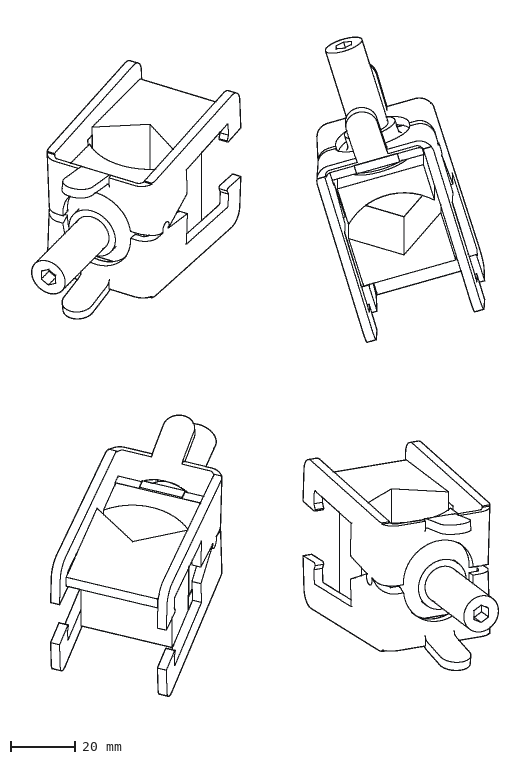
import cadquery as cq
import math


OVERALL_LENGTH = 90

SHEET = 3.0
JAW_WIDTH = 38.0
JAW_TILT = 3.6
JAW_HEIGHT = 21.95
BACK_Y = -10.1
HOOK_END_Y = 48.9
BEND_INNER_R = 1.9
BEND_OUTER_R = BEND_INNER_R + SHEET
HOOK_CORNER_R = 5.0
HOOK_TIP_Z = 6.0
HOOK_INNER_Y = 41.0
OPENING_Y = 14.0
OPENING_Z = 13.05
OPENING_CORNER_R = 0.5
NOSE_DEPTH = 1.0
NOSE_HEIGHT = 2.4
NOSE_R = 0.8

HINGE_R = 2.0
HINGE_EDGE_Z = 1.0
KNOB_FRONT_Z = 2.0
SOCKET_FRONT_Z = 4.0
SOCKET_BACK_Z = 3.0
RELIEF_Y = -2.3
RELIEF_Z = -0.6

JAW_HOLE_D = 24.0
JAW_HOLE_Z = 2.1

tilt = math.radians(JAW_TILT)
hook_reach = HOOK_END_Y * math.cos(tilt) - HOOK_TIP_Z * math.sin(tilt)

TONGUE_WIDTH = 10.0
TONGUE_LENGTH = 9.8
TONGUE_SLOPE = 13.1
TONGUE_BEND_INNER_R = 1.8
TONGUE_BEND_OUTER_R = TONGUE_BEND_INNER_R + SHEET
TONGUE_BEND_Z = 18.0
WALL_TOP_Z = 21.5

BLOCK_WIDTH = 30.0
BLOCK_HEIGHT = 37.1
BLOCK_FRONT_Y = 45.1
BLOCK_BACK_Y = 14.0
BLOCK_APEX_Y = 24.1
BLOCK_WEB_Y = 30.3
BLOCK_PLATE = 4.05

SCREW_Z = -0.45
SCREW_D = 12.0
SCREW_END_Y = hook_reach - OVERALL_LENGTH
SADDLE_WIDTH = 28.0
SADDLE_HEIGHT = 30.0
SADDLE_TIP_Y = 10.6
SADDLE_BACK_Y = -1.6
SADDLE_R = 19.7
FOOT_D = 20.5
FOOT_RIM = 0.7
FOOT_CONE = 1.0
HEX_FLATS = 5.0
HEX_DEPTH = 5.0

NUT_WIDTH = 29.9
NUT_HEIGHT = 26.0
NUT_TAB_WIDTH = 14.0
NUT_TAB_HEIGHT = 0.5
NUT_BACK_Y = -6.9
NUT_THICKNESS = 3.0
BOSS_D = 16.5
BOSS_END_Y = -13.1
BOSS_FILLET = 3.1


def side_profile(edge_points, x_start):
    """Half-width slab with the outline of one side plate; edge_points close it at the hinge."""
    nose_y = HOOK_INNER_Y - NOSE_DEPTH
    outline = (
        cq.Workplane("YZ", origin=(x_start, 0, 0))
        .moveTo(BACK_Y, JAW_HEIGHT)
        .lineTo(HOOK_END_Y - HOOK_CORNER_R, JAW_HEIGHT)
        .radiusArc((HOOK_END_Y, JAW_HEIGHT - HOOK_CORNER_R), HOOK_CORNER_R)
        .lineTo(HOOK_END_Y, HOOK_TIP_Z)
        .lineTo(nose_y + NOSE_R, HOOK_TIP_Z)
        .radiusArc((nose_y, HOOK_TIP_Z + NOSE_R), NOSE_R)
        .lineTo(HOOK_INNER_Y, HOOK_TIP_Z + NOSE_HEIGHT)
        .lineTo(HOOK_INNER_Y, OPENING_Z - OPENING_CORNER_R)
        .radiusArc((HOOK_INNER_Y - OPENING_CORNER_R, OPENING_Z), -OPENING_CORNER_R)
        .lineTo(OPENING_Y, OPENING_Z)
    )
    for point in edge_points:
        outline = outline.lineTo(*point)
    return outline.close().extrude(JAW_WIDTH / 2)


def bent_channel():
    """U-shaped sheet, open to +Y, tall enough for the whole jaw."""
    length = HOOK_END_Y - BACK_Y
    outer = (
        cq.Workplane("XY", origin=(0, BACK_Y + length / 2, 0))
        .box(JAW_WIDTH, length, 2 * JAW_HEIGHT)
        .edges("|Z and <Y").fillet(BEND_OUTER_R)
    )
    inner = (
        cq.Workplane("XY", origin=(0, BACK_Y + SHEET + length / 2, 0))
        .box(JAW_WIDTH - 2 * SHEET, length, 2 * JAW_HEIGHT)
        .edges("|Z and <Y").fillet(BEND_INNER_R)
    )
    return outer.cut(inner)


def tongue():
    """Bend out of the back wall, followed by a round-ended sloping plate."""
    slope = math.radians(TONGUE_SLOPE)
    axis_y = BACK_Y - TONGUE_BEND_INNER_R
    half = TONGUE_WIDTH / 2

    def on_bend(radius, angle):
        return axis_y + radius * math.cos(angle), TONGUE_BEND_Z + radius * math.sin(angle)

    end = math.pi / 2 - slope
    bend = (
        cq.Workplane("YZ", origin=(-half, 0, 0))
        .moveTo(*on_bend(TONGUE_BEND_INNER_R, 0))
        .threePointArc(on_bend(TONGUE_BEND_INNER_R, end / 2), on_bend(TONGUE_BEND_INNER_R, end))
        .lineTo(*on_bend(TONGUE_BEND_OUTER_R, end))
        .threePointArc(on_bend(TONGUE_BEND_OUTER_R, end / 2), on_bend(TONGUE_BEND_OUTER_R, 0))
        .close()
        .extrude(TONGUE_WIDTH)
    )
    start_y, start_z = on_bend(TONGUE_BEND_INNER_R, end)
    plane = cq.Plane((0, start_y, start_z), (1, 0, 0), (0, math.sin(slope), math.cos(slope)))
    plate = (
        cq.Workplane(plane)
        .moveTo(-half, 0)
        .lineTo(-half, -TONGUE_LENGTH)
        .threePointArc((0, -TONGUE_LENGTH - half), (half, -TONGUE_LENGTH))
        .lineTo(half, 0)
        .close()
        .extrude(SHEET)
    )
    return bend.union(plate)


def wall_top_cut():
    """Material above the lowered back wall edge, and the rounding of its inner side."""
    inner_y = BACK_Y + SHEET
    axis_y = BACK_Y - TONGUE_BEND_INNER_R
    rise = WALL_TOP_Z - TONGUE_BEND_Z
    edge_y = axis_y + math.sqrt(TONGUE_BEND_OUTER_R**2 - rise**2)
    lowered = (
        cq.Workplane("YZ")
        .moveTo(inner_y, WALL_TOP_Z)
        .lineTo(BACK_Y, WALL_TOP_Z)
        .lineTo(BACK_Y, JAW_HEIGHT)
        .lineTo(inner_y, JAW_HEIGHT)
        .close()
        .extrude(JAW_WIDTH / 2, both=True)
    )
    rounding = (
        cq.Workplane("YZ")
        .moveTo(inner_y, TONGUE_BEND_Z)
        .radiusArc((edge_y, WALL_TOP_Z), -TONGUE_BEND_OUTER_R)
        .lineTo(edge_y, JAW_HEIGHT)
        .lineTo(inner_y + SHEET, JAW_HEIGHT)
        .lineTo(inner_y + SHEET, TONGUE_BEND_Z)
        .close()
        .extrude(JAW_WIDTH / 2 - SHEET, both=True)
        .edges("%CIRCLE").fillet(BEND_INNER_R)
    )
    return lowered.union(rounding)


def hinge_disc(x_start):
    """Disc on the hinge axis, as thick as a side plate: the knob, or the socket it fits."""
    return cq.Workplane("YZ", origin=(x_start, 0, 0)).circle(HINGE_R).extrude(SHEET)


def jaw():
    """Upper jaw, swung open: knob on its -X side plate, socket on its +X side plate."""
    knob_edge = [
        (OPENING_Y, KNOB_FRONT_Z),
        (HINGE_R, HINGE_EDGE_Z),
        (BACK_Y, HINGE_EDGE_Z),
    ]
    socket_edge = [
        (OPENING_Y, SOCKET_FRONT_Z),
        (HINGE_R, -HINGE_EDGE_Z),
        (RELIEF_Y, RELIEF_Z),
        (BACK_Y, SOCKET_BACK_Z),
    ]
    outline = side_profile(knob_edge, -JAW_WIDTH / 2).union(side_profile(socket_edge, 0))
    hole = (
        cq.Workplane("XZ", origin=(0, BACK_Y / 2, JAW_HOLE_Z))
        .circle(JAW_HOLE_D / 2)
        .extrude(-BACK_Y)
    )
    body = (
        bent_channel()
        .intersect(outline)
        .cut(wall_top_cut())
        .union(tongue())
        .cut(hole)
        .union(hinge_disc(-JAW_WIDTH / 2))
        .cut(hinge_disc(JAW_WIDTH / 2 - SHEET))
    )
    return body.rotate((0, 0, 0), (1, 0, 0), JAW_TILT)


def v_block():
    """L-shaped block: top plate and web, with a V notch facing the saddle."""
    half = BLOCK_WIDTH / 2
    body = (
        cq.Workplane("XY", origin=(0, 0, -BLOCK_HEIGHT / 2))
        .polyline([
            (-half, BLOCK_FRONT_Y),
            (-half, BLOCK_BACK_Y),
            (0, BLOCK_APEX_Y),
            (half, BLOCK_BACK_Y),
            (half, BLOCK_FRONT_Y),
        ])
        .close()
        .extrude(BLOCK_HEIGHT)
    )
    space_below = (
        cq.Workplane("XY", origin=(0, 0, -BLOCK_HEIGHT / 2))
        .moveTo(0, (BLOCK_WEB_Y + BLOCK_FRONT_Y) / 2)
        .rect(BLOCK_WIDTH, BLOCK_FRONT_Y - BLOCK_WEB_Y)
        .extrude(BLOCK_HEIGHT - BLOCK_PLATE)
    )
    return body.cut(space_below)


def pressure_screw():
    """Saddle with a hollow face, its conical foot, and the shank with a hexagon socket."""
    half = SADDLE_WIDTH / 2
    hollow_y = SADDLE_TIP_Y - (SADDLE_R - math.sqrt(SADDLE_R**2 - half**2))
    saddle = (
        cq.Workplane("XY", origin=(0, 0, SCREW_Z - SADDLE_HEIGHT / 2))
        .moveTo(-half, SADDLE_TIP_Y)
        .lineTo(-half, SADDLE_BACK_Y)
        .lineTo(half, SADDLE_BACK_Y)
        .lineTo(half, SADDLE_TIP_Y)
        .threePointArc((0, hollow_y), (-half, SADDLE_TIP_Y))
        .close()
        .extrude(SADDLE_HEIGHT)
    )
    rim_y = SADDLE_BACK_Y - FOOT_RIM
    cone_y = rim_y - FOOT_CONE
    shank = (
        cq.Workplane("XY", origin=(0, 0, SCREW_Z))
        .polyline([
            (0, SADDLE_BACK_Y),
            (FOOT_D / 2, SADDLE_BACK_Y),
            (FOOT_D / 2, rim_y),
            (SCREW_D / 2, cone_y),
            (SCREW_D / 2, SCREW_END_Y),
            (0, SCREW_END_Y),
        ])
        .close()
        .revolve(360, (0, 0, 0), (0, 1, 0))
    )
    socket = (
        cq.Workplane("XZ", origin=(0, SCREW_END_Y, SCREW_Z))
        .transformed(rotate=(0, 0, 30))
        .polygon(6, HEX_FLATS / math.cos(math.pi / 6))
        .extrude(-HEX_DEPTH)
    )
    return saddle.union(shank).cut(socket)


def nut_plate():
    """Plate inside the back walls; its filleted boss stands out through the jaw hole."""
    front = cq.Workplane("XZ", origin=(0, NUT_BACK_Y + NUT_THICKNESS, SCREW_Z))
    plate = front.rect(NUT_WIDTH, NUT_HEIGHT - 2 * NUT_TAB_HEIGHT).extrude(NUT_THICKNESS)
    tabs = front.rect(NUT_TAB_WIDTH, NUT_HEIGHT).extrude(NUT_THICKNESS)
    boss = (
        cq.Workplane("XY", origin=(0, 0, SCREW_Z))
        .moveTo(0, NUT_BACK_Y)
        .lineTo(BOSS_D / 2 + BOSS_FILLET, NUT_BACK_Y)
        .radiusArc((BOSS_D / 2, NUT_BACK_Y - BOSS_FILLET), -BOSS_FILLET)
        .lineTo(BOSS_D / 2, BOSS_END_Y)
        .lineTo(0, BOSS_END_Y)
        .close()
        .revolve(360, (0, 0, 0), (0, 1, 0))
    )
    bore = front.circle(SCREW_D / 2).extrude(NUT_BACK_Y + NUT_THICKNESS - BOSS_END_Y)
    return plate.union(tabs).union(boss).cut(bore)


jaws = [jaw().rotate((0, 0, 0), (0, 1, 0), turn) for turn in (0, 180)]

result = cq.Compound.makeCompound([
    *[body.val() for body in jaws],
    v_block().val(),
    pressure_screw().val(),
    nut_plate().val(),
])